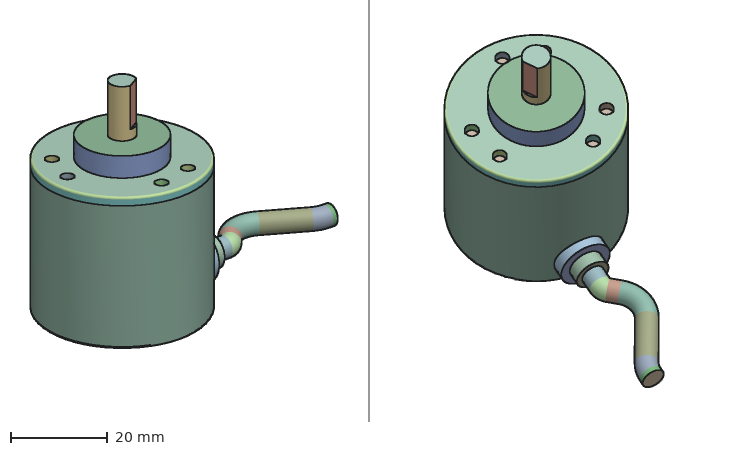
import cadquery as cq
import math

body_diameter = 38.0
rim_radius = 0.5
total_height = 52.5
flange_top = 34.95
flange_thickness = 1.95
can_bottom = 0.1
can_top = flange_top - flange_thickness

boss_diameter = 20.0
boss_top = 40.0

hole_diameter = 3.0
hole_circle_radius = 14.5
holes_per_set = 3
hole_set_angles = (30, -5)

shaft_diameter = 6.0
flat_length = 10.0
flat_distance = 2.5
flat_angle = 30

gland_diameter = 11.5
gland_start = body_diameter / 4
gland_end = 21.15
neck_diameter = 7.5
neck_end = 24.2
gland_height = gland_diameter / 2

cable_diameter = 5.0
overall_depth = 72.65
cable_end = overall_depth - body_diameter / 2
cable_corners = ((0, 28.5), (-7.05, 34.6), (1.95, 50.8))
cable_bend_radii = (2.55, 6.8, 6.55)
cable_end_x = cable_corners[-1][0]


def rounded_path(start, corners, radii, end):
    """Wire of straight runs joined at each corner by a tangent arc of the given radius."""
    points = [cq.Vector(x, y, gland_height) for x, y in (start, *corners, end)]
    edges = []
    run_start = points[0]
    for before, corner, after, radius in zip(points, points[1:], points[2:], radii):
        back = (before - corner).normalized()
        ahead = (after - corner).normalized()
        half_angle = back.getAngle(ahead) / 2
        tangent_length = radius / math.tan(half_angle)
        arc_depth = radius / math.sin(half_angle) - radius
        arc_start = corner + back * tangent_length
        arc_middle = corner + (back + ahead).normalized() * arc_depth
        arc_end = corner + ahead * tangent_length
        edges.append(cq.Edge.makeLine(run_start, arc_start))
        edges.append(cq.Edge.makeThreePointArc(arc_start, arc_middle, arc_end))
        run_start = arc_end
    edges.append(cq.Edge.makeLine(run_start, points[-1]))
    return cq.Wire.assembleEdges(edges)


def cylinder_along_z(diameter, bottom, top):
    """Cylinder on the housing axis, from z = bottom to z = top."""
    return cq.Workplane().workplane(offset=bottom).circle(diameter / 2).extrude(top - bottom)


def gland_circle(diameter, y):
    """Circle on the gland axis at the given y, facing +Y."""
    plane = cq.Plane(origin=(0, y, gland_height), xDir=(1, 0, 0), normal=(0, 1, 0))
    return cq.Workplane(plane).circle(diameter / 2)


def cylinder_along_y(diameter, start, end):
    """Cylinder on the gland axis, from y = start to y = end."""
    return gland_circle(diameter, start).extrude(end - start)


def make_cable():
    """Bent cable from the neck of the gland to its cut end."""
    path = rounded_path((0, neck_end), cable_corners, cable_bend_radii, (cable_end_x, cable_end))
    return gland_circle(cable_diameter, neck_end).sweep(cq.Workplane(path))


def make_housing():
    """Can with the cable gland and cable on its side."""
    can = cylinder_along_z(body_diameter, can_bottom, can_top)
    can = can.faces("<Z").fillet(rim_radius)
    gland = cylinder_along_y(gland_diameter, gland_start, gland_end)
    neck = cylinder_along_y(neck_diameter, gland_end, neck_end)
    return can.union(gland).union(neck).union(make_cable())


def make_flange():
    """Flange plate with the centring boss and the mounting holes."""
    plate = cylinder_along_z(body_diameter, can_top, flange_top)
    plate = plate.faces(">Z").fillet(rim_radius)
    boss = cylinder_along_z(boss_diameter, flange_top, boss_top)
    flange = plate.union(boss)
    for first_angle in hole_set_angles:
        holes = (
            cq.Workplane()
            .workplane(offset=can_top)
            .polarArray(hole_circle_radius, first_angle, 360, holes_per_set)
            .circle(hole_diameter / 2)
            .extrude(flange_thickness)
        )
        flange = flange.cut(holes)
    return flange


def make_shaft():
    """Shaft standing on the boss, with a flat cut along its free end."""
    shaft = cylinder_along_z(shaft_diameter, boss_top, total_height)
    flat_cutter = (
        cq.Workplane()
        .box(shaft_diameter, shaft_diameter, flat_length, centered=(False, True, False))
        .translate((flat_distance, 0, total_height - flat_length))
        .rotate((0, 0, 0), (0, 0, 1), flat_angle)
    )
    return shaft.cut(flat_cutter)


housing = make_housing()
flange = make_flange()
shaft = make_shaft()

bodies = [housing, flange, shaft]
result = cq.Compound.makeCompound([body.solids().val() for body in bodies])